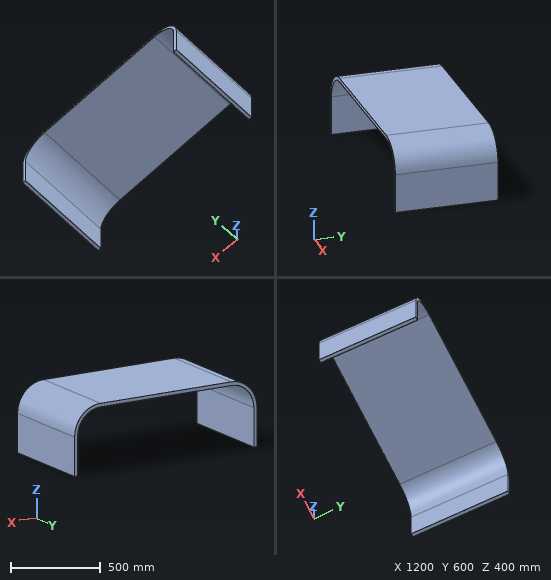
import cadquery as cq

length = 1200.0
depth = 600.0
height = 400.0
thickness = 22.0
outer_radius = 170.0
inner_radius = outer_radius - thickness


def rounded_block(block_length, block_height, bend_radius):
    """Block standing on Z = 0 with its two upper long edges rounded."""
    block = cq.Workplane("XY").box(block_length, depth, block_height, centered=(True, True, False))
    return block.edges("|Y and >Z").fillet(bend_radius)


outer_shell = rounded_block(length, height, outer_radius)
inner_space = rounded_block(length - 2 * thickness, height - thickness, inner_radius)

result = outer_shell.cut(inner_space)